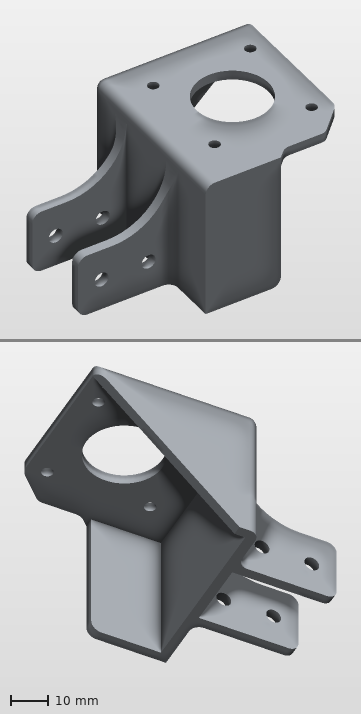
import cadquery as cq

width = 57.0
depth = 49.0
height = 43.4
thickness = 3.0
bend_radius = 3.0

plate_corner_cut = 8.85
plate_fillet = 4.0
plate_side_fillet = 3.0
bore_diameter = 23.0
bore_x = 27.0
bore_y = 27.5
screw_diameter = 3.4
screw_spacing = 31.0

left_wall_foot = 6.25
right_wall_depth = 24.0
right_wall_corner_radius = 3.0

ear_gap = 20.15
ear_length = 30.0
ear_height = 20.0
ear_arc_radius = 19.0
ear_corner_radius = 3.0
ear_root_radius = 3.0
ear_hole_diameter = 4.4
ear_hole_z = 9.95
ear_hole_distances = (7.5, 22.5)

plate_bottom = height - thickness
plate_right = width - thickness


def box(x0, x1, y0, y1, z0, z1):
    return cq.Workplane("XY").box(x1 - x0, y1 - y0, z1 - z0, centered=False).translate((x0, y0, z0))


def top_plate():
    """Plate with a cut rear-right corner and a sloped step beside the right wall."""
    outline = [
        (0, 0),
        (width, 0),
        (width, right_wall_depth),
        (plate_right, right_wall_depth + thickness),
        (plate_right, depth - plate_corner_cut),
        (plate_right - plate_corner_cut, depth),
        (0, depth),
    ]
    plate = cq.Workplane("XY").workplane(offset=plate_bottom).polyline(outline).close().extrude(thickness)
    step, side_corner, rear_corner = outline[3:6]
    roundings = ((step, plate_fillet), (side_corner, plate_side_fillet), (rear_corner, plate_fillet))
    for (x, y), radius in roundings:
        corner = cq.selectors.NearestToPointSelector((x, y, height - thickness / 2))
        plate = plate.edges("|Z").edges(corner).fillet(radius)
    return plate


def left_wall():
    """Wall tapering from the plate's rear edge to a short foot."""
    profile = [(0, 0), (left_wall_foot, 0), (depth, plate_bottom), (depth, height), (0, height)]
    return cq.Workplane("YZ").polyline(profile).close().extrude(thickness)


def right_wall():
    wall = box(plate_right, width, 0, right_wall_depth, 0, height)
    return wall.edges("|X and >Y and <Z").fillet(right_wall_corner_radius)


def shell():
    """Plate and walls with rounded outer bends and a rounded rear-left corner."""
    body = top_plate().union(left_wall()).union(right_wall())
    body = body.union(box(0, width, 0, thickness, 0, height))
    bends = (
        cq.selectors.BoxSelector((-0.8, -0.8, -0.8), (0.8, 0.8, height + 0.8))
        + cq.selectors.BoxSelector((-0.8, 0.8, height - 0.8), (0.8, depth + 0.8, height + 0.8))
        + cq.selectors.BoxSelector((0.8, -0.8, height - 0.8), (width + 0.8, 0.8, height + 0.8))
    )
    body = body.edges(bends).fillet(bend_radius)
    corner = box(0, bend_radius, depth - bend_radius, depth, 0, height)
    rounding = (
        cq.Workplane("XY").center(bend_radius, depth - bend_radius).circle(bend_radius).extrude(height)
    )
    return body.cut(corner.cut(rounding))


def ear(inner_x, outward):
    """Ear with its inner face at inner_x; outward is the X direction of its rounded root."""
    outer_x = inner_x + outward * thickness
    root_x = outer_x + outward * ear_root_radius
    plan = (
        cq.Workplane("XY")
        .moveTo(inner_x, thickness)
        .lineTo(inner_x, -ear_length)
        .lineTo(outer_x, -ear_length)
        .lineTo(outer_x, -ear_root_radius)
        .radiusArc((root_x, 0), outward * ear_root_radius)
        .lineTo(root_x, thickness)
        .close()
        .extrude(height)
    )
    arc_top = ear_height + ear_arc_radius
    arc_offset = ear_arc_radius * (1 - 0.5 ** 0.5)
    profile = (
        cq.Workplane("YZ")
        .moveTo(thickness, 0)
        .lineTo(thickness, arc_top)
        .lineTo(0, arc_top)
        .threePointArc((-arc_offset, ear_height + arc_offset), (-ear_arc_radius, ear_height))
        .lineTo(-ear_length, ear_height)
        .lineTo(-ear_length, 0)
        .close()
        .extrude(width)
        .edges("|X and <Y")
        .fillet(ear_corner_radius)
    )
    holes = (
        cq.Workplane("YZ")
        .pushPoints([(-distance, ear_hole_z) for distance in ear_hole_distances])
        .circle(ear_hole_diameter / 2)
        .extrude(width)
    )
    return plan.intersect(profile).cut(holes)


def plate_holes():
    plane = cq.Workplane("XY").workplane(offset=plate_bottom).center(bore_x, bore_y)
    bore = plane.circle(bore_diameter / 2).extrude(thickness)
    screws = (
        plane.rect(screw_spacing, screw_spacing, forConstruction=True)
        .vertices()
        .circle(screw_diameter / 2)
        .extrude(thickness)
    )
    return bore.union(screws)


result = shell()
for side in (-1, 1):
    result = result.union(ear(bore_x + side * ear_gap / 2, side))
result = result.cut(plate_holes())